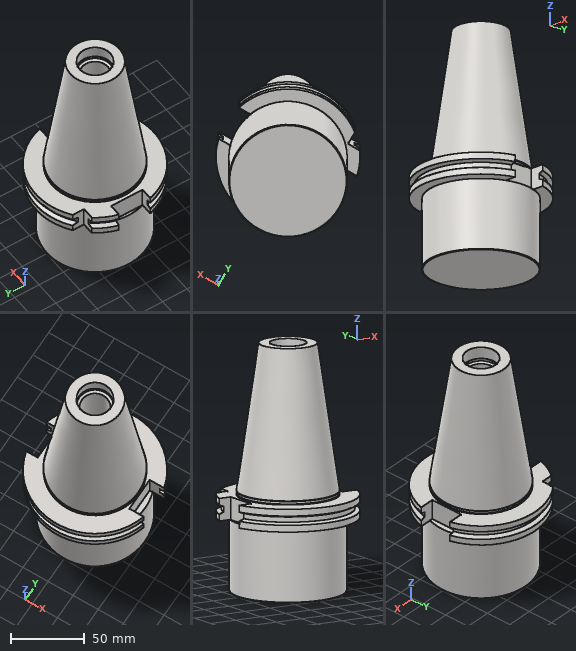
import cadquery as cq
import math

total_height = 171.6
taper_bottom = 69.5
flange_top = 66.8
flange_bottom = 51.0

body_diameter = 80.0
body_chamfer = 0.5
flange_diameter = 97.5
neck_diameter = 69.3
neck_edge_height = 0.5
taper_large_diameter = 70.0
taper_ratio = 7 / 24

groove_diameter = 90.6
groove_centre = (flange_top + flange_bottom) / 2
groove_floor_width = 3.6
groove_mouth_width = 6.3

slot_width = 25.7
left_slot_offset = 37.8
right_slot_offset = 35.5
notch_offset = 29.5

pilot_diameter = 25.0
pilot_depth = 11.5
relief_diameter = 25.4
relief_height = 2.0
drill_diameter = 21.0
drill_depth = 51.5
bore_cone_angle = 140.0


def revolve_profile(points):
    """Revolve a closed (radius, height) profile about Z."""
    return cq.Workplane("XZ").polyline(points).close().revolve(360, (0, 0), (0, 1))


def make_shank():
    """Cylindrical body, neck and steep taper."""
    body_radius = body_diameter / 2
    neck_radius = neck_diameter / 2
    taper_large_radius = taper_large_diameter / 2
    taper_small_diameter = taper_large_diameter - taper_ratio * (total_height - taper_bottom)
    return revolve_profile([
        (0, 0),
        (body_radius - body_chamfer, 0),
        (body_radius, body_chamfer),
        (body_radius, flange_bottom),
        (taper_large_radius, flange_bottom),
        (taper_large_radius, flange_top),
        (neck_radius, flange_top + neck_edge_height),
        (neck_radius, taper_bottom - neck_edge_height),
        (taper_large_radius, taper_bottom),
        (taper_small_diameter / 2, total_height),
        (0, total_height),
    ])


def flange_cutter(x_min, x_max, y_min, y_max):
    """Block through the full flange thickness."""
    return cq.Workplane("XY").box(
        x_max - x_min, y_max - y_min, flange_top - flange_bottom, centered=False
    ).translate((x_min, y_min, flange_bottom))


def make_flange():
    """Grooved flange with two drive slots and a corner notch."""
    outer_radius = flange_diameter / 2
    groove_radius = groove_diameter / 2
    half_floor = groove_floor_width / 2
    half_mouth = groove_mouth_width / 2
    flange = revolve_profile([
        (0, flange_bottom),
        (outer_radius, flange_bottom),
        (outer_radius, groove_centre - half_mouth),
        (groove_radius, groove_centre - half_floor),
        (groove_radius, groove_centre + half_floor),
        (outer_radius, groove_centre + half_mouth),
        (outer_radius, flange_top),
        (0, flange_top),
    ])
    half_slot = slot_width / 2
    left_slot = flange_cutter(-outer_radius, -left_slot_offset, -half_slot, half_slot)
    right_slot = flange_cutter(right_slot_offset, outer_radius, -half_slot, half_slot)
    notch = flange_cutter(-outer_radius, -notch_offset, notch_offset, outer_radius)
    return flange.cut(left_slot).cut(right_slot).cut(notch)


def make_bore():
    """Pilot bore with an end relief, a conical shoulder and a drilled hole with a conical tip."""
    pilot_radius = pilot_diameter / 2
    relief_radius = relief_diameter / 2
    drill_radius = drill_diameter / 2
    pilot_floor = total_height - pilot_depth
    relief_top = pilot_floor + relief_height
    drill_end = total_height - drill_depth
    cone_slope = 1 / math.tan(math.radians(bore_cone_angle / 2))
    shoulder_height = (relief_radius - drill_radius) * cone_slope
    tip_height = drill_radius * cone_slope
    return revolve_profile([
        (0, total_height),
        (pilot_radius, total_height),
        (pilot_radius, relief_top),
        (relief_radius, relief_top),
        (relief_radius, pilot_floor),
        (drill_radius, pilot_floor - shoulder_height),
        (drill_radius, drill_end),
        (0, drill_end - tip_height),
    ])


result = make_shank().union(make_flange()).cut(make_bore())